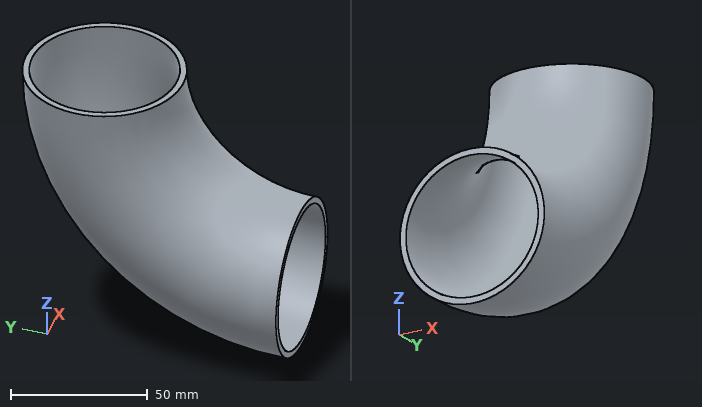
import cadquery as cq

outer_diameter = 60.3
wall_thickness = 2.5
overall_size = 106.2
bend_angle = 90.0

outer_radius = outer_diameter / 2
inner_radius = outer_radius - wall_thickness
bend_radius = overall_size - outer_radius


def pipe_elbow():
    """Ring section swept about the X axis, from an end facing -Y to an end facing +Z."""
    ring = (
        cq.Workplane("XZ")
        .center(0, -bend_radius)
        .circle(outer_radius)
        .circle(inner_radius)
    )
    return ring.revolve(bend_angle, (0, bend_radius), (1, bend_radius))


result = pipe_elbow()